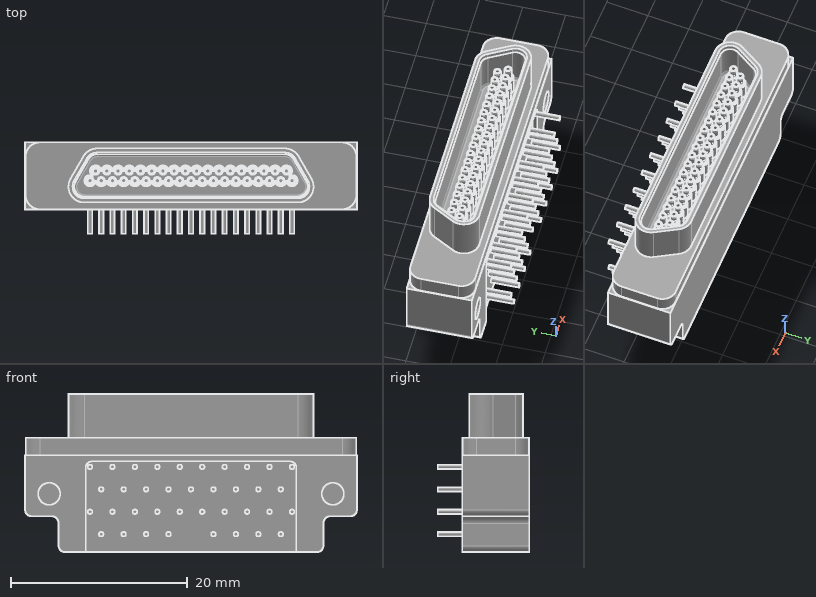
import cadquery as cq
import math


housing_width = 37.59
housing_depth = 7.62
ear_height = 6.9
tail_width = 30.0
tail_height = 4.06
housing_corner_radius = 0.76
front_y = -housing_depth / 2

flange_end_setback = 0.08
flange_side_setback = 0.03
flange_width = housing_width - 2 * flange_end_setback
flange_depth = housing_depth - 2 * flange_side_setback
flange_height = 2.0
flange_corner_radius = 1.6
flange_bottom_z = -flange_height
housing_bottom_z = flange_bottom_z - ear_height - tail_height

shell_width = 27.74
shell_depth = 6.12
shell_height = 4.95
shell_corner_radius = 1.8
shell_side_angle = 60.0
shell_centre_y = 0.045
lip_width = 0.46
lead_in_width = 0.2
lead_in_height = 0.42
cavity_floor_radius = 0.24

contact_pitch = 1.27
contact_row_spacing = 1.09
upper_row_count = 18
lower_row_count = upper_row_count + 1
contact_outer_diameter = 0.84
contact_bore_diameter = 0.56
contact_tip_diameter = 0.74
contact_tip_height = 0.2
contact_bore_depth = 1.0
contact_height = 3.5

insulator_height = 2.2
scallop_radius = 0.64
insulator_edge_chamfer = 0.12

pin_diameter = 0.52
pin_length = 2.77
pin_pitch = 2 * contact_pitch
pin_rows = 4
long_row_count = 10
first_pin_row_drop = 1.3

recess_width = 23.87
recess_depth = 0.5
recess_top_drop = 0.68
recess_corner_radius = 0.76

mount_hole_diameter = 2.5
mount_hole_spacing = 32.1
mount_hole_drop = 4.35
mount_hole_depth = 1.0


def row_positions(count, pitch):
    """X positions of `count` evenly spaced places centred on X = 0."""
    return [(i - (count - 1) / 2) * pitch for i in range(count)]


def hanging_block(width, depth, height, top_z):
    """Box of the given size, centred in X and Y, hanging from top_z."""
    return cq.Workplane("XY").workplane(offset=top_z - height).rect(width, depth).extrude(height)


def make_housing():
    """T-shaped housing with rounded lower and notch corners."""
    full_height = ear_height + tail_height
    ears = hanging_block(housing_width, housing_depth, ear_height, flange_bottom_z)
    tail = hanging_block(tail_width, housing_depth, full_height, flange_bottom_z)
    return ears.union(tail).edges("|Y and (not >Z)").fillet(housing_corner_radius)


def make_flange():
    """Plate with rounded corners, set back slightly from the housing faces."""
    flange = hanging_block(flange_width, flange_depth, flange_height, 0)
    return flange.edges("|Z").fillet(flange_corner_radius)


def d_section(inset, z):
    """Rounded trapezoid, wide side to -Y, offset inward from the shell outline."""
    radius = shell_corner_radius - inset
    half_depth = shell_depth / 2 - inset
    slope = math.radians(shell_side_angle)
    wide_centre_x = shell_width / 2 - shell_corner_radius
    centre_rise = shell_depth - 2 * shell_corner_radius
    narrow_centre_x = wide_centre_x - centre_rise / math.tan(slope)
    wide_overhang = radius / math.tan(slope / 2)
    narrow_overhang = radius * math.tan(slope / 2)
    wide_x = wide_centre_x + wide_overhang
    narrow_x = narrow_centre_x + narrow_overhang
    points = [
        (-wide_x, -half_depth),
        (wide_x, -half_depth),
        (narrow_x, half_depth),
        (-narrow_x, half_depth),
    ]
    outline = cq.Workplane("XY").polyline(points).close().wire().val()
    rounded = outline.fillet2D(radius, outline.Vertices())
    return rounded.translate(cq.Vector(0, shell_centre_y, z))


def loft_between(lower_inset, lower_z, upper_inset, upper_z):
    """Solid between two D sections at different heights."""
    sections = [d_section(lower_inset, lower_z), d_section(upper_inset, upper_z)]
    return cq.Workplane(obj=cq.Solid.makeLoft(sections, True))


def make_shell():
    """Hollow D shell with a tapered mouth and a rounded edge around the cavity floor."""
    wall = lip_width + lead_in_width
    lead_in_z = shell_height - lead_in_height
    shell = loft_between(0, 0, 0, shell_height)
    cavity = loft_between(wall, 0, wall, lead_in_z).faces("<Z").edges().fillet(cavity_floor_radius)
    lead_in = loft_between(wall, lead_in_z, lip_width, shell_height)
    return shell.cut(cavity).cut(lead_in)


def contact_places():
    """(x, y) of every contact: the shorter row lies towards +Y."""
    half_spacing = contact_row_spacing / 2
    upper = [(x, half_spacing) for x in row_positions(upper_row_count, contact_pitch)]
    lower = [(x, -half_spacing) for x in row_positions(lower_row_count, contact_pitch)]
    return upper + lower


def revolve_profile(points):
    """Solid of revolution about Z from an outline of (radius, z) points."""
    return cq.Workplane("XZ").polyline(points).close().revolve(360, (0, 0, 0), (0, 1, 0))


def make_insulator():
    """Bar between the contact rows, scalloped by a chamfered post around each contact."""
    upper_span = (upper_row_count - 1) * contact_pitch
    lower_span = (lower_row_count - 1) * contact_pitch
    bar_width = (upper_span + lower_span) / 2
    insulator = cq.Workplane("XY").rect(bar_width, contact_row_spacing).extrude(insulator_height)
    post = revolve_profile(
        [
            (0, 0),
            (scallop_radius, 0),
            (scallop_radius, insulator_height - insulator_edge_chamfer),
            (scallop_radius - insulator_edge_chamfer, insulator_height),
            (0, insulator_height),
        ]
    )
    for x, y in contact_places():
        insulator = insulator.union(post.translate((x, y, 0)))
    return insulator


def make_contact():
    """Round socket on the cavity floor, with a tapered tip and a blind bore."""
    outer_radius = contact_outer_diameter / 2
    bore_radius = contact_bore_diameter / 2
    bore_floor_z = contact_height - contact_bore_depth
    return revolve_profile(
        [
            (0, 0),
            (outer_radius, 0),
            (outer_radius, contact_height - contact_tip_height),
            (contact_tip_diameter / 2, contact_height),
            (bore_radius, contact_height),
            (bore_radius, bore_floor_z),
            (0, bore_floor_z),
        ]
    )


def add_contacts(insulator):
    """Stand a socket in every post of the insulator; the bores stay above the insulator."""
    contact = make_contact()
    for x, y in contact_places():
        insulator = insulator.union(contact.translate((x, y, 0)))
    return insulator


def pin_places():
    """(x, z) of every tail pin; the lowest row has no middle pin."""
    places = []
    for row in range(pin_rows):
        z = flange_bottom_z - first_pin_row_drop - row * pin_pitch
        is_short_row = row % 2 == 1
        count = long_row_count - 1 if is_short_row else long_row_count
        for x in row_positions(count, pin_pitch):
            is_missing_pin = row == pin_rows - 1 and x == 0
            if not is_missing_pin:
                places.append((x, z))
    return places


def make_pins():
    """Pins run from the recess floor to in front of the housing."""
    return (
        cq.Workplane("XZ", origin=(0, front_y + recess_depth, 0))
        .pushPoints(pin_places())
        .circle(pin_diameter / 2)
        .extrude(recess_depth + pin_length)
    )


def make_recess():
    """Shallow front pocket, open at the bottom, with rounded upper corners."""
    top_z = flange_bottom_z - recess_top_drop
    height = top_z - housing_bottom_z
    recess = (
        cq.Workplane("XY", origin=(0, front_y + recess_depth / 2, housing_bottom_z))
        .rect(recess_width, recess_depth)
        .extrude(height)
    )
    return recess.edges("|Y and >Z").fillet(recess_corner_radius)


def make_mount_holes():
    """Blind holes in the front of the two ears."""
    hole_z = flange_bottom_z - mount_hole_drop
    return (
        cq.Workplane("XZ", origin=(0, front_y + mount_hole_depth, 0))
        .pushPoints([(side * mount_hole_spacing / 2, hole_z) for side in (-1, 1)])
        .circle(mount_hole_diameter / 2)
        .extrude(mount_hole_depth)
    )


body = make_housing().union(make_flange()).cut(make_recess()).cut(make_mount_holes())
insulator = add_contacts(make_insulator())
result = body.union(make_shell()).union(insulator).union(make_pins())